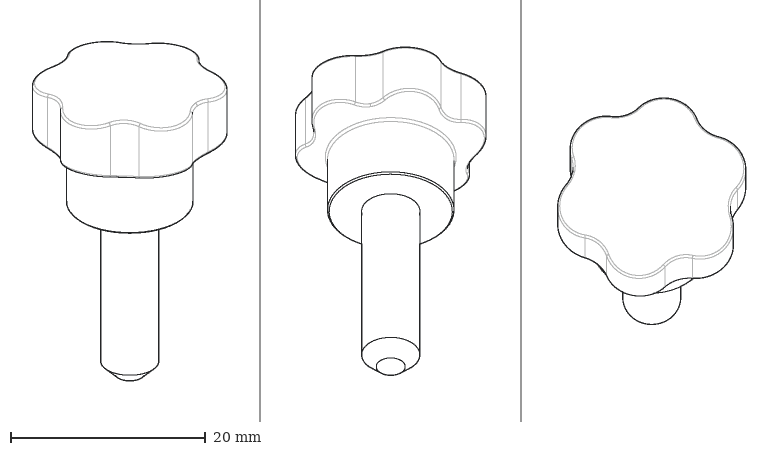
import cadquery as cq
import math

total_height = 35.0
shaft_diameter = 6.0
tip_chamfer = 1.5
hub_diameter = 13.0
hub_bottom = 20.0
hub_chamfer = 0.18
hub_top = 26.88
neck_fillet = 0.35
skirt_angle = 21.5
dome_radius = 42.0
edge_fillet = 0.28

lobe_count = 6
tip_radius = 9.992
lobe_radius = 3.57
valley_radius = 8.3
blank_margin = 0.52

half_pitch = math.pi / lobe_count
lobe_center = tip_radius - lobe_radius
center_along_valley = lobe_center * math.cos(half_pitch)
valley_arc_radius = (
    lobe_radius**2 - valley_radius**2 - lobe_center**2 + 2 * valley_radius * center_along_valley
) / (2 * (valley_radius - center_along_valley - lobe_radius))
valley_center = valley_radius + valley_arc_radius


def polar(radius, angle):
    return (radius * math.cos(angle), radius * math.sin(angle))


def tangent_point(lobe_angle, side):
    """Point where a lobe meets the valley on its given side (-1 or +1)."""
    lobe_x, lobe_y = polar(lobe_center, lobe_angle)
    valley_x, valley_y = polar(valley_center, lobe_angle + side * half_pitch)
    share = lobe_radius / (lobe_radius + valley_arc_radius)
    return (lobe_x + share * (valley_x - lobe_x), lobe_y + share * (valley_y - lobe_y))


def lobed_prism():
    first_angle = math.pi / 2
    outline = cq.Workplane("XY").workplane(offset=hub_bottom).moveTo(*tangent_point(first_angle, -1))
    for index in range(lobe_count):
        angle = first_angle + index * 2 * half_pitch
        outline = outline.threePointArc(polar(tip_radius, angle), tangent_point(angle, 1))
        outline = outline.threePointArc(
            polar(valley_radius, angle + half_pitch), tangent_point(angle + 2 * half_pitch, -1)
        )
    return outline.close().extrude(total_height - hub_bottom)


def dome_height(radius):
    return total_height - dome_radius + math.sqrt(dome_radius**2 - radius**2)


def grip_blank():
    """Round blank: domed top, conical skirt and cylindrical hub."""
    hub_radius = hub_diameter / 2
    blank_radius = tip_radius + blank_margin
    skirt_rise = (blank_radius - hub_radius) * math.tan(math.radians(skirt_angle))
    return (
        cq.Workplane("XZ")
        .moveTo(0, hub_bottom)
        .lineTo(hub_radius, hub_bottom)
        .lineTo(hub_radius, hub_top)
        .lineTo(blank_radius, hub_top + skirt_rise)
        .lineTo(blank_radius, dome_height(blank_radius))
        .threePointArc((blank_radius / 2, dome_height(blank_radius / 2)), (0, total_height))
        .close()
        .revolve(360, (0, 0, 0), (0, 1, 0))
    )


def make_grip():
    grip = grip_blank().intersect(lobed_prism())
    grip = grip.edges(cq.selectors.BoxSelector(
        (-tip_radius, -tip_radius, hub_top + neck_fillet),
        (tip_radius, tip_radius, total_height),
    )).edges("not (|Z or %CIRCLE)").fillet(edge_fillet)
    neck = cq.selectors.BoxSelector(
        (-hub_diameter, -hub_diameter, hub_top - edge_fillet),
        (hub_diameter, hub_diameter, hub_top + edge_fillet),
        boundingbox=True,
    )
    grip = grip.edges(neck).fillet(neck_fillet)
    return grip.faces("<Z").edges().chamfer(hub_chamfer)


def make_shaft():
    shaft = cq.Workplane("XY").circle(shaft_diameter / 2).extrude(hub_bottom)
    return shaft.faces("<Z").chamfer(tip_chamfer)


result = make_grip().union(make_shaft())